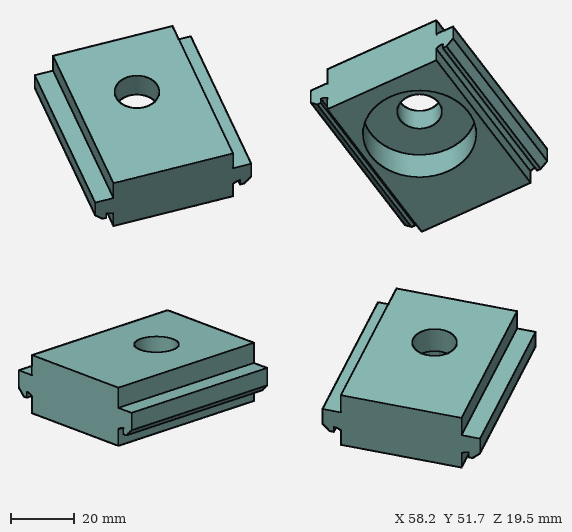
import cadquery as cq
import math

length = 58.25
width = 51.7
height = 19.5

rail_overhang = 6.05
rail_drop = 6.75
rail_thickness = 8.2
rail_chamfer = 2.4
hook_width = 3.7

groove_radius = 5.5 / 2
groove_roof_z = 6.45
groove_axis_offset = 0.3

hole_diameter = 14.0
hole_x = -5.8
recess_diameter = 35.5
hole_depth = 8.7

body_y = width / 2 - rail_overhang
rail_y = width / 2
rail_top_z = height - rail_drop
rail_bottom_z = rail_top_z - rail_thickness
hook_y = rail_y - hook_width
groove_axis_y = hook_y - groove_axis_offset
groove_axis_z = groove_roof_z - groove_radius


def groove_z(y):
    """Height of the groove's round roof at a given Y."""
    return groove_axis_z + math.sqrt(groove_radius**2 - (y - groove_axis_y) ** 2)


def make_body():
    return cq.Workplane("XY").box(length, 2 * body_y, height, centered=(True, True, False))


def make_rail():
    """Hooked rail on the +Y side, with its root inside the body."""
    return (
        cq.Workplane("YZ", origin=(-length / 2, 0, 0))
        .moveTo(0, rail_top_z)
        .lineTo(rail_y, rail_top_z)
        .lineTo(rail_y, rail_bottom_z + rail_chamfer)
        .lineTo(rail_y - rail_chamfer, rail_bottom_z)
        .lineTo(hook_y, rail_bottom_z)
        .lineTo(hook_y, groove_z(hook_y))
        .threePointArc((groove_axis_y, groove_roof_z), (body_y, groove_z(body_y)))
        .lineTo(0, groove_z(body_y))
        .close()
        .extrude(length)
    )


def make_stepped_hole():
    hole = cq.Workplane("XY").center(hole_x, 0).circle(hole_diameter / 2).extrude(height)
    recess = (
        cq.Workplane("XY")
        .center(hole_x, 0)
        .circle(recess_diameter / 2)
        .extrude(height - hole_depth)
    )
    return hole.union(recess)


rail = make_rail()
result = make_body().union(rail).union(rail.mirror("XZ")).cut(make_stepped_hole())